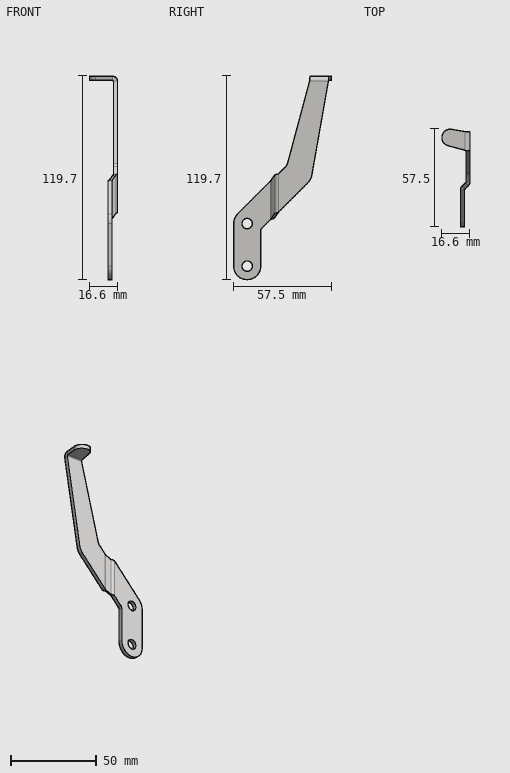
import cadquery as cq
import math

thickness = 2.5
inner_radius = 0.5
outer_radius = inner_radius + thickness
neutral_factor = 0.1
neutral_radius = inner_radius + neutral_factor * thickness
height = 119.7
width = 57.5

foot_radius = 8.0
hole_diameter = 6.0
hole_spacing = 25.0
lower_hole_z = foot_radius
upper_hole_z = lower_hole_z + hole_spacing
foot_corner_radius = 1.9

joggle_offset = 3.17
joggle_y = 16.0
joggle_angle = math.radians(45)
foot_outer_x = -joggle_offset
foot_inner_x = foot_outer_x - thickness
web_length = (
    joggle_offset - (inner_radius + outer_radius) * (1 - math.cos(joggle_angle))
) / math.sin(joggle_angle)
joggle_span = (inner_radius + outer_radius) * math.sin(joggle_angle) + web_length * math.cos(joggle_angle)
joggle_low_y = joggle_y - joggle_span / 2
joggle_high_y = joggle_y + joggle_span / 2

arm_slope_left = math.tan(math.radians(10))
arm_slope_right = math.tan(math.radians(15))
arm_outer_fillet = foot_radius
arm_inner_fillet = 4.0

tab_radius = 5.0
tab_tip_x = -16.6
tab_max_y = width - foot_radius
tab_center_x = tab_tip_x + tab_radius
tab_center_y = tab_max_y - tab_radius
tab_bend_x = -outer_radius
tab_bend_z = height - outer_radius

strip_half_rise = foot_radius * math.sqrt(2)
foot_top = upper_hole_z + strip_half_rise
foot_bottom = upper_hole_z - strip_half_rise

joggle_bend_rise = neutral_radius * joggle_angle
joggle_rise = web_length + 2 * joggle_bend_rise
arm_top = foot_top + joggle_rise - joggle_span
arm_bottom = foot_bottom + joggle_rise - joggle_span

tab_run = tab_bend_x - tab_center_x
tab_left_y = tab_center_y + tab_radius * math.hypot(1, arm_slope_left) - tab_run * arm_slope_left
tab_right_y = tab_center_y - tab_radius * math.hypot(1, arm_slope_right) - tab_run * arm_slope_right
tab_bend_length = neutral_radius * math.pi / 2
arm_left_y = tab_left_y - tab_bend_length * arm_slope_left
arm_right_y = tab_right_y - tab_bend_length * arm_slope_right


def plate(points, outer_x, corners):
    """Flat sheet from (y, z) points, with its listed (corner, radius) pairs rounded."""
    body = cq.Workplane("YZ", origin=(outer_x - thickness, 0, 0)).polyline(points).close().extrude(thickness)
    for (y, z), radius in corners:
        middle = (outer_x - thickness / 2, y, z)
        body = body.edges(cq.selectors.NearestToPointSelector(middle)).fillet(radius)
    return body


def ruled_solid(point, length):
    """Piece of bent or straight sheet bounded by the four curves point(radius, side, t), 0 <= t <= length."""
    def curve(radius, side):
        steps = 8
        return cq.Edge.makeSpline([cq.Vector(*point(radius, side, length * i / steps)) for i in range(steps + 1)])

    ring = [(inner_radius, 0), (outer_radius, 0), (outer_radius, 1), (inner_radius, 1)]
    curves = [curve(*corner) for corner in ring]
    faces = [cq.Face.makeRuledSurface(curves[i - 1], curves[i]) for i in range(len(ring))]
    for end in (0, length):
        faces.append(cq.Face.makeFromWires(
            cq.Wire.makePolygon([cq.Vector(*point(*corner, end)) for corner in ring], close=True)))
    solid = cq.Solid.makeSolid(cq.Shell.makeShell(faces))
    return cq.Workplane(solid.fix())


def foot():
    knee = (foot_radius, foot_radius + foot_bottom)
    crest = (-foot_radius, foot_top - foot_radius)
    outline = [
        (-foot_radius, 0),
        (foot_radius, 0),
        knee,
        (joggle_low_y, joggle_low_y + foot_bottom),
        (joggle_low_y, joggle_low_y + foot_top),
        crest,
    ]
    body = plate(outline, foot_outer_x, [(crest, foot_radius), (knee, foot_corner_radius)])
    end = (
        cq.Workplane("YZ", origin=(foot_inner_x, 0, 0))
        .center(0, lower_hole_z)
        .circle(foot_radius)
        .extrude(thickness)
    )
    below = cq.Workplane("XY").box(
        thickness, 2 * foot_radius, lower_hole_z, centered=(False, True, False)
    ).translate((foot_inner_x, 0, 0))
    holes = (
        cq.Workplane("YZ", origin=(foot_inner_x, 0, 0))
        .pushPoints([(0, lower_hole_z), (0, upper_hole_z)])
        .circle(hole_diameter / 2)
        .extrude(thickness)
    )
    return body.cut(below).union(end).cut(holes)


def arm_edge_meeting(edge_y, slope, intercept):
    """Where an arm edge crosses the strip edge z = y + intercept."""
    y = (edge_y - slope * (tab_bend_z - intercept)) / (1 - slope)
    return (y, y + intercept)


def arm():
    outer_knee = arm_edge_meeting(arm_left_y, arm_slope_left, arm_bottom)
    inner_knee = arm_edge_meeting(arm_right_y, arm_slope_right, arm_top)
    outline = [
        (joggle_high_y, joggle_high_y + arm_bottom),
        outer_knee,
        (arm_left_y, tab_bend_z),
        (arm_right_y, tab_bend_z),
        inner_knee,
        (joggle_high_y, joggle_high_y + arm_top),
    ]
    return plate(outline, 0, [(outer_knee, arm_outer_fillet), (inner_knee, arm_inner_fillet)])


def joggle():
    sine = math.sin(joggle_angle)
    cosine = math.cos(joggle_angle)
    low_axis_x = foot_outer_x + inner_radius
    high_axis_x = -outer_radius
    low_edges = [joggle_low_y + foot_bottom, joggle_low_y + foot_top]
    high_edges = [joggle_high_y + arm_bottom, joggle_high_y + arm_top]

    def low_bend(radius, side, angle):
        return (
            low_axis_x - radius * math.cos(angle),
            joggle_low_y + radius * math.sin(angle),
            low_edges[side] + neutral_radius * angle,
        )

    def high_bend(radius, side, angle):
        return (
            high_axis_x + radius * math.cos(angle),
            joggle_high_y - radius * math.sin(angle),
            high_edges[side] - neutral_radius * angle,
        )

    def web(radius, side, distance):
        x, y, z = low_bend(radius, side, joggle_angle)
        return (x + distance * sine, y + distance * cosine, z + distance)

    return [
        ruled_solid(low_bend, joggle_angle),
        ruled_solid(web, web_length),
        ruled_solid(high_bend, joggle_angle),
    ]


def tab_bend():
    edges = [(arm_right_y, arm_slope_right), (arm_left_y, arm_slope_left)]

    def bend(radius, side, angle):
        start_y, slope = edges[side]
        return (
            tab_bend_x + radius * math.cos(angle),
            start_y + slope * neutral_radius * angle,
            tab_bend_z + radius * math.sin(angle),
        )

    return ruled_solid(bend, math.pi / 2)


def tab():
    def tangent_point(slope, side):
        angle = math.atan(slope)
        return (
            tab_center_x + side * tab_radius * math.sin(angle),
            tab_center_y + side * tab_radius * math.cos(angle),
        )

    return (
        cq.Workplane("XY", origin=(0, 0, height - thickness))
        .moveTo(tab_bend_x, tab_right_y)
        .lineTo(*tangent_point(arm_slope_right, -1))
        .threePointArc((tab_tip_x, tab_center_y), tangent_point(arm_slope_left, 1))
        .lineTo(tab_bend_x, tab_left_y)
        .close()
        .extrude(thickness)
    )


result = foot()
for piece in joggle() + [arm(), tab_bend(), tab()]:
    result = result.union(piece)